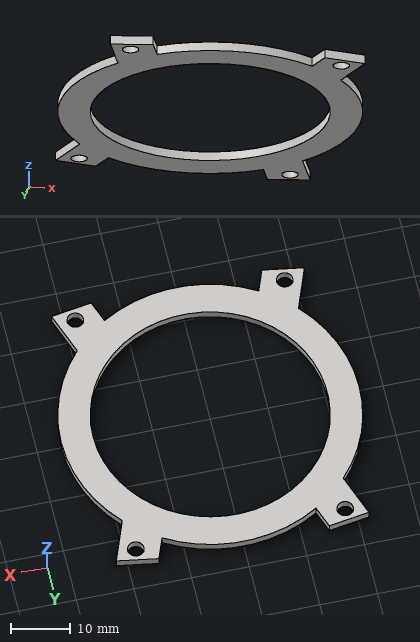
import cadquery as cq

overall_length = 52.05
ring_diameter = 51.7
bore_diameter = 40.6
thickness = 1.6

tab_inner_tip = (14.8, overall_length / 2)
tab_outer_tip = (21.95, 24.9)
tab_inner_root = (12.4, 19.45)
tab_outer_root = (18.2, 14.6)
hole_diameter = 2.75
hole_x = 18.15
hole_y = 23.25

mirror_signs = [(sx, sy) for sx in (1, -1) for sy in (1, -1)]


def make_tab(sign_x, sign_y):
    """Slanted four-sided tab whose root is buried in the ring."""
    corners = (tab_inner_root, tab_inner_tip, tab_outer_tip, tab_outer_root)
    outline = [(sign_x * x, sign_y * y) for x, y in corners]
    return cq.Workplane("XY").polyline(outline).close().extrude(thickness)


plate = cq.Workplane("XY").circle(ring_diameter / 2).extrude(thickness)
for sign_x, sign_y in mirror_signs:
    plate = plate.union(make_tab(sign_x, sign_y))

bore = cq.Workplane("XY").circle(bore_diameter / 2).extrude(thickness)

hole_centers = [(sx * hole_x, sy * hole_y) for sx, sy in mirror_signs]
holes = cq.Workplane("XY").pushPoints(hole_centers).circle(hole_diameter / 2).extrude(thickness)

result = plate.cut(bore).cut(holes)